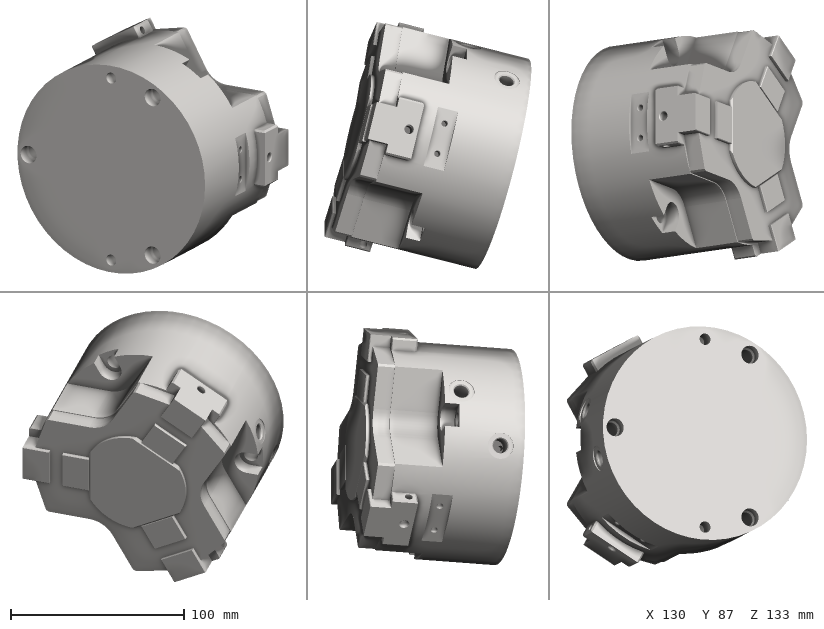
import cadquery as cq
import math


HALF_HEIGHT = 66.5
LENGTH = 87.0
HOUSING_RADIUS = 62.5
JAW_ANGLES = (0, 120, 240)
POCKET_ANGLES = (60, 180, 300)

JAW_BOTTOM = 60.0
BODY_TOP = 75.0
COVER_TOP = 84.9

COVER_FLAT_DISTANCE = 61.0
COVER_FLAT_ANGLE = 18
COVER_WALL_DISTANCE = 32.0
COVER_CORNER_CHAMFER = 1.0
DISC_RADIUS = 31.2
DISC_BEVEL = 1.0

JAW_HALF_WIDTH = 17.0
JAW_NECK_HALF_WIDTH = 11.0
JAW_CHAMFER = 1.0
JAW_EDGE_BREAK = 0.4
JAW_INNER_END = 27.5
JAW_TILT = math.radians(30)
JAW_REACH = (HALF_HEIGHT - (JAW_HALF_WIDTH - JAW_CHAMFER) * math.sin(JAW_TILT)) / math.cos(JAW_TILT)
JAW_GAP_START = 43.5
JAW_GAP_END = 51.5
JAW_HOLE_LEVEL = 65.1
JAW_FACE_HOLE_DIAMETER = 5.0
JAW_FACE_HOLE_MOUTH = 5.8
JAW_FACE_HOLE_DEPTH = 13.3
JAW_SIDE_HOLE_RADIUS_POSITION = 63.4
JAW_SIDE_HOLE_DIAMETER = 4.5
JAW_SIDE_HOLE_DEPTH = JAW_HALF_WIDTH

POCKET_BOTTOM = 47.0
POCKET_WALL_DISTANCE = 32.5
POCKET_WALL_ANGLE = 60
POCKET_FILLET = 16.0

BOLT_CIRCLE_RADIUS = 55.0
BOLT_HOLE_DIAMETER = 8.5
BOLT_ENTRY_DIAMETER = 10.5
BOLT_ENTRY_DEPTH = 6.6
BOLT_SLOT_WIDTH = 14.1
BOLT_SLOT_FLOOR = 38.5
DOWEL_ANGLES = (90, 270)
DOWEL_DIAMETER = 6.6
DOWEL_DEPTH = 10.6
DRILL_POINT_ANGLE = 118

PORTS = ((165, 37.0, 1), (195, 14.0, -1))
PORT_SPOTFACE_DIAMETER = 15.0
PORT_SPOTFACE_DISTANCE = 61.8
PORT_DIAMETER = 8.5
PORT_MOUTH = 9.7
PORT_DEPTH = 13.3
CHANNEL_DIAMETER = 2.9
CHANNEL_OFFSET = 2.7
CHANNEL_DEPTH = 6.6

SENSOR_ANGLES = (0, 240)
SENSOR_FLAT_DISTANCE = 60.0
SENSOR_FLAT_START = 39.0
SENSOR_FLAT_END = 51.0
SENSOR_HOLE_SPACING = 18.0
SENSOR_HOLE_DIAMETER = 3.3
SENSOR_HOLE_MOUTH = 4.0
SENSOR_HOLE_DEPTH = 6.6

CLEARANCE = 13.3

AXIS_Y = cq.Vector(0, 1, 0)


def turned(shape, angle):
    """Turn a shape about the gripper axis, from +X towards +Z."""
    return shape.rotate((0, 0, 0), (0, -1, 0), angle)


def section_at(level):
    """Sketch plane across the axis; its sketches are extruded towards +Y by a negative length."""
    return cq.Workplane("XZ", origin=(0, level, 0))


def polar(radius, angle):
    """Point across the axis, at an angle from +X towards +Z."""
    return radius * math.cos(math.radians(angle)), radius * math.sin(math.radians(angle))


def pocket_apex(wall_distance):
    """Distance from the axis to the sharp line where the two walls of a pocket meet."""
    return wall_distance / math.sin(math.radians(POCKET_WALL_ANGLE))


def disc(radius, start, end):
    return section_at(start).circle(radius).extrude(start - end)


def drill(diameter, mouth, depth, entry, direction):
    """Flat-bottomed hole with a 45 degree countersink that opens to the mouth diameter."""
    radius = diameter / 2
    mouth_radius = mouth / 2
    hole = cq.Solid.makeCylinder(radius, depth, entry, direction)
    if mouth > diameter:
        hole = hole.fuse(cq.Solid.makeCone(mouth_radius, radius, mouth_radius - radius, entry, direction))
    return cq.Workplane(hole)



def jaw_section(top, edge_break):
    """Mirror-symmetric T section of a jaw, in (axial, sideways) coordinates."""
    half = [
        (JAW_BOTTOM, JAW_HALF_WIDTH - JAW_CHAMFER),
        (JAW_BOTTOM + JAW_CHAMFER, JAW_HALF_WIDTH),
        (BODY_TOP - JAW_EDGE_BREAK, JAW_HALF_WIDTH),
        (BODY_TOP, JAW_HALF_WIDTH - JAW_EDGE_BREAK),
        (BODY_TOP, JAW_NECK_HALF_WIDTH),
        (top - edge_break, JAW_NECK_HALF_WIDTH),
    ]
    if edge_break > 0:
        half.append((top, JAW_NECK_HALF_WIDTH - edge_break))
    return half + [(level, -side) for level, side in reversed(half)]


def make_jaw(angle):
    jaw = (
        cq.Workplane("YZ", origin=(JAW_INNER_END, 0, 0))
        .polyline(jaw_section(LENGTH, JAW_EDGE_BREAK)).close()
        .extrude(JAW_REACH - JAW_INNER_END)
    )
    jaw = jaw.faces(">X").edges("|Y").edges(">Z or <Z").chamfer(JAW_CHAMFER)
    gap = cq.Workplane().box(
        JAW_GAP_END - JAW_GAP_START, CLEARANCE, 2 * JAW_HALF_WIDTH, centered=(False, False, True)
    ).translate((JAW_GAP_START, COVER_TOP, 0))
    face_hole = drill(
        JAW_FACE_HOLE_DIAMETER, JAW_FACE_HOLE_MOUTH, JAW_FACE_HOLE_DEPTH,
        cq.Vector(JAW_REACH, JAW_HOLE_LEVEL, 0), cq.Vector(-1, 0, 0))
    side_hole = drill(
        JAW_SIDE_HOLE_DIAMETER, JAW_SIDE_HOLE_DIAMETER, JAW_SIDE_HOLE_DEPTH,
        cq.Vector(JAW_SIDE_HOLE_RADIUS_POSITION, JAW_HOLE_LEVEL, -JAW_HALF_WIDTH), cq.Vector(0, 0, 1))
    return turned(jaw.cut(gap).cut(face_hole).cut(side_hole), angle)



def make_cover():
    """Flat-sided cover with three rounded notches."""
    flat_angle = math.radians(COVER_FLAT_ANGLE)
    ridge = COVER_FLAT_DISTANCE / math.cos(flat_angle)
    corner = (COVER_FLAT_DISTANCE - COVER_WALL_DISTANCE * math.sin(flat_angle)) / math.cos(flat_angle)
    corner_radius = math.hypot(corner, COVER_WALL_DISTANCE)
    corner_angle = math.degrees(math.atan2(COVER_WALL_DISTANCE, corner))
    notch = pocket_apex(COVER_WALL_DISTANCE)

    outline = []
    corners = []
    notches = []
    for angle in JAW_ANGLES:
        corners += [polar(corner_radius, angle - corner_angle), polar(corner_radius, angle + corner_angle)]
        notches.append(polar(notch, angle + POCKET_WALL_ANGLE))
        outline += [corners[-2], polar(ridge, angle), corners[-1], notches[-1]]

    cover = section_at(BODY_TOP).polyline(outline).close().extrude(BODY_TOP - COVER_TOP)
    for x, z in corners:
        cover = cover.edges("|Y").edges(cq.NearestToPointSelector((x, BODY_TOP, z)))
        cover = cover.chamfer(COVER_CORNER_CHAMFER)
    for x, z in notches:
        cover = cover.edges("|Y").edges(cq.NearestToPointSelector((x, BODY_TOP, z)))
        cover = cover.fillet(POCKET_FILLET)
    return cover


def make_raised_disc():
    """Disc in the middle of the cover, with a bevelled flat at the inner end of each jaw."""
    raised = disc(DISC_RADIUS, COVER_TOP, LENGTH)
    beyond_flat = (
        cq.Workplane("XY", origin=(0, 0, -DISC_RADIUS))
        .polyline([
            (JAW_INNER_END, COVER_TOP),
            (JAW_INNER_END, LENGTH - DISC_BEVEL),
            (JAW_INNER_END - DISC_BEVEL, LENGTH),
            (DISC_RADIUS, LENGTH),
            (DISC_RADIUS, COVER_TOP),
        ]).close()
        .extrude(2 * DISC_RADIUS)
    )
    for angle in JAW_ANGLES:
        raised = raised.cut(turned(beyond_flat, angle))
    return raised


def jaw_slot():
    """T slot that fits a jaw and is open to the outside and to the top."""
    return (
        cq.Workplane("YZ", origin=(JAW_INNER_END, 0, 0))
        .polyline(jaw_section(LENGTH + CLEARANCE, 0)).close()
        .extrude(HOUSING_RADIUS + CLEARANCE - JAW_INNER_END)
    )


def pocket():
    """V-shaped pocket with a rounded bottom, and the bolt slot below it."""
    apex = pocket_apex(POCKET_WALL_DISTANCE)
    outer = HOUSING_RADIUS + CLEARANCE
    half_width = (outer - apex) * math.tan(math.radians(POCKET_WALL_ANGLE))
    wedge = (
        section_at(POCKET_BOTTOM)
        .polyline([(apex, 0), (outer, -half_width), (outer, half_width)]).close()
        .extrude(POCKET_BOTTOM - BODY_TOP)
        .edges("|Y").edges("<X").fillet(POCKET_FILLET)
    )
    return wedge.union(bolt_slot())


def bolt_slot():
    """Round-ended slot that is open to the outside, around the bolt hole."""
    half_width = BOLT_SLOT_WIDTH / 2
    outer = HOUSING_RADIUS + CLEARANCE
    return (
        section_at(BOLT_SLOT_FLOOR)
        .moveTo(outer, half_width)
        .lineTo(BOLT_CIRCLE_RADIUS, half_width)
        .threePointArc((BOLT_CIRCLE_RADIUS - half_width, 0), (BOLT_CIRCLE_RADIUS, -half_width))
        .lineTo(outer, -half_width)
        .close()
        .extrude(BOLT_SLOT_FLOOR - BODY_TOP)
    )


def bolt_hole():
    """Through hole with a wider entry that narrows at 45 degrees."""
    narrow_from = cq.Vector(BOLT_CIRCLE_RADIUS, BOLT_ENTRY_DEPTH, 0)
    through = drill(
        BOLT_HOLE_DIAMETER, BOLT_ENTRY_DIAMETER, POCKET_BOTTOM - BOLT_ENTRY_DEPTH, narrow_from, AXIS_Y)
    entry = disc(BOLT_ENTRY_DIAMETER / 2, 0, BOLT_ENTRY_DEPTH).translate((BOLT_CIRCLE_RADIUS, 0, 0))
    return through.union(entry)


def dowel_hole():
    """Blind hole with a drill point."""
    radius = DOWEL_DIAMETER / 2
    point_depth = radius / math.tan(math.radians(DRILL_POINT_ANGLE / 2))
    hole = cq.Solid.makeCylinder(radius, DOWEL_DEPTH, cq.Vector(BOLT_CIRCLE_RADIUS, 0, 0), AXIS_Y)
    point = cq.Solid.makeCone(radius, 0, point_depth, cq.Vector(BOLT_CIRCLE_RADIUS, DOWEL_DEPTH, 0), AXIS_Y)
    return cq.Workplane(hole.fuse(point))


def air_port(level, channel_side):
    """Spotface, threaded port and the small channel in the port's floor."""
    inward = cq.Vector(-1, 0, 0)
    spotface = drill(
        PORT_SPOTFACE_DIAMETER, PORT_SPOTFACE_DIAMETER, CLEARANCE,
        cq.Vector(PORT_SPOTFACE_DISTANCE + CLEARANCE, level, 0), inward)
    port = drill(
        PORT_DIAMETER, PORT_MOUTH, PORT_DEPTH, cq.Vector(PORT_SPOTFACE_DISTANCE, level, 0), inward)
    channel = drill(
        CHANNEL_DIAMETER, CHANNEL_DIAMETER, PORT_DEPTH + CHANNEL_DEPTH,
        cq.Vector(PORT_SPOTFACE_DISTANCE, level + channel_side * CHANNEL_OFFSET, 0), inward)
    return spotface.union(port).union(channel)


def sensor_flat():
    """Flat notch with two small screw holes."""
    notch = cq.Workplane().box(
        CLEARANCE, SENSOR_FLAT_END - SENSOR_FLAT_START, HOUSING_RADIUS, centered=(False, False, True)
    ).translate((SENSOR_FLAT_DISTANCE, SENSOR_FLAT_START, 0))
    level = (SENSOR_FLAT_START + SENSOR_FLAT_END) / 2
    for side in (-1, 1):
        entry = cq.Vector(SENSOR_FLAT_DISTANCE, level, side * SENSOR_HOLE_SPACING / 2)
        notch = notch.union(
            drill(SENSOR_HOLE_DIAMETER, SENSOR_HOLE_MOUTH, SENSOR_HOLE_DEPTH, entry, cq.Vector(-1, 0, 0)))
    return notch


def make_housing():
    housing = disc(HOUSING_RADIUS, 0, BODY_TOP).union(make_cover()).union(make_raised_disc())
    for angle in JAW_ANGLES:
        housing = housing.cut(turned(jaw_slot(), angle))
    for angle in POCKET_ANGLES:
        housing = housing.cut(turned(pocket(), angle)).cut(turned(bolt_hole(), angle))
    for angle in DOWEL_ANGLES:
        housing = housing.cut(turned(dowel_hole(), angle))
    for angle, level, channel_side in PORTS:
        housing = housing.cut(turned(air_port(level, channel_side), angle))
    for angle in SENSOR_ANGLES:
        housing = housing.cut(turned(sensor_flat(), angle))
    return housing


housing = make_housing()
jaws = [make_jaw(angle) for angle in JAW_ANGLES]

result = cq.Compound.makeCompound([housing.val(), *[jaw.val() for jaw in jaws]])